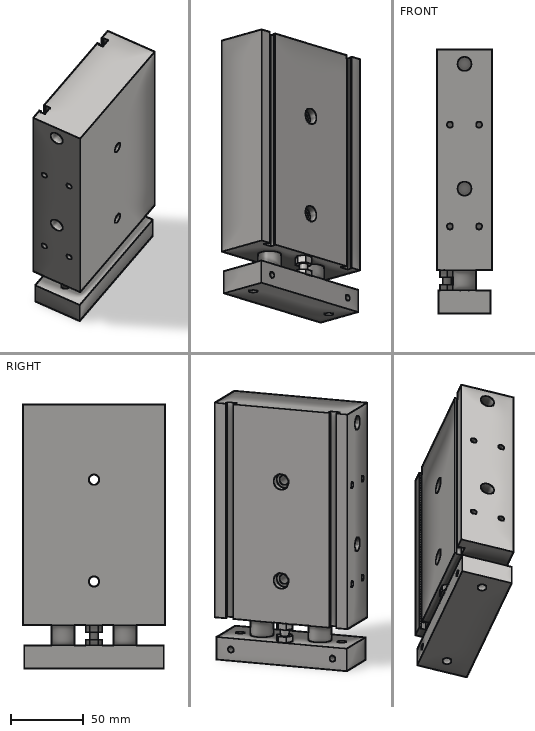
import cadquery as cq

PLATE_X = 36.0
PLATE_Y = 96.1
PLATE_Z = 16.0
PLATE_HOLE_SPACING = 75.0
SIDE_HOLE_DIAMETER = 4.2
SIDE_HOLE_DEPTH = 10.0
TOP_HOLE_DIAMETER = 6.0

ROD_DIAMETER = 16.0
ROD_SPACING = 42.8
ROD_LENGTH = 14.0

HOUSING_X = 38.0
HOUSING_Y = 98.0
HOUSING_TOP = 182.0
HOUSING_BOTTOM = PLATE_Z + ROD_LENGTH
HOUSING_Z = HOUSING_TOP - HOUSING_BOTTOM

SLOT_SPACING = 76.0
SLOT_MOUTH_WIDTH = 5.3
SLOT_INNER_WIDTH = 7.0
SLOT_LIP = 1.5
SLOT_DEPTH = 5.0

MOUNT_LOWER_Z = HOUSING_BOTTOM + 30.0
MOUNT_PITCH = 70.0
MOUNT_ROWS = (MOUNT_LOWER_Z, MOUNT_LOWER_Z + MOUNT_PITCH)
BOLT_HOLE_DIAMETER = 7.0
COUNTERBORE_DIAMETER = 11.0
COUNTERBORE_DEPTH = 6.0
TAPPED_HOLE_DIAMETER = 4.2
TAPPED_HOLE_DEPTH = 10.0
TAPPED_HOLE_SPACING = 20.0

PORT_DIAMETER = 9.6
PORT_DEPTH = 10.0
PORT_ROWS = (HOUSING_BOTTOM + 56.0, HOUSING_TOP - 10.0)

BOLT_X = -12.0
BOLT_SHANK_DIAMETER = 6.0
HEX_ACROSS_FLATS = 10.0
HEAD_HEIGHT = 5.1
NUT_HEIGHT = 4.0


def hole_along_x(diameter, depth, y, z, face_x):
    """Cylinder that enters a -X face and runs toward +X."""
    return cq.Workplane(cq.Solid.makeCylinder(
        diameter / 2, depth, cq.Vector(face_x, y, z), cq.Vector(1, 0, 0)))


def hole_along_y(diameter, depth, x, z):
    """Cylinder that enters the -Y housing face and runs toward +Y."""
    return cq.Workplane(cq.Solid.makeCylinder(
        diameter / 2, depth, cq.Vector(x, -HOUSING_Y / 2, z), cq.Vector(0, 1, 0)))


def box_from(x, y, z, length, width, height):
    """Box starting at x and z, centred on y."""
    return cq.Workplane().box(length, width, height, centered=(False, True, False)).translate((x, y, z))


def t_slot(y):
    """Full-height T-slot with a narrow mouth on the -X face."""
    face_x = -HOUSING_X / 2
    mouth = box_from(face_x, y, HOUSING_BOTTOM, SLOT_DEPTH, SLOT_MOUTH_WIDTH, HOUSING_Z)
    inner = box_from(face_x + SLOT_LIP, y, HOUSING_BOTTOM, SLOT_DEPTH - SLOT_LIP, SLOT_INNER_WIDTH, HOUSING_Z)
    return mouth.union(inner)


def make_housing():
    face_x = -HOUSING_X / 2
    body = box_from(face_x, 0, HOUSING_BOTTOM, HOUSING_X, HOUSING_Y, HOUSING_Z)
    for side in (-1, 1):
        body = body.cut(t_slot(side * SLOT_SPACING / 2))
    for z in MOUNT_ROWS:
        body = body.cut(hole_along_x(BOLT_HOLE_DIAMETER, HOUSING_X, 0, z, face_x))
        body = body.cut(hole_along_x(COUNTERBORE_DIAMETER, COUNTERBORE_DEPTH, 0, z, face_x))
        for side in (-1, 1):
            x = side * TAPPED_HOLE_SPACING / 2
            body = body.cut(hole_along_y(TAPPED_HOLE_DIAMETER, TAPPED_HOLE_DEPTH, x, z))
    for z in PORT_ROWS:
        body = body.cut(hole_along_y(PORT_DIAMETER, PORT_DEPTH, 0, z))
    return body


def make_slide():
    """Tool plate with its two guide rods, which end at the housing underside."""
    face_x = -PLATE_X / 2
    plate = box_from(face_x, 0, 0, PLATE_X, PLATE_Y, PLATE_Z)
    for side in (-1, 1):
        hole_y = side * PLATE_HOLE_SPACING / 2
        top_hole = cq.Workplane().center(0, hole_y).circle(TOP_HOLE_DIAMETER / 2).extrude(PLATE_Z)
        plate = plate.cut(top_hole)
        plate = plate.cut(hole_along_x(SIDE_HOLE_DIAMETER, SIDE_HOLE_DEPTH, hole_y, PLATE_Z / 2, face_x))
        rod = (cq.Workplane().workplane(offset=PLATE_Z).center(0, side * ROD_SPACING / 2)
               .circle(ROD_DIAMETER / 2).extrude(ROD_LENGTH))
        plate = plate.union(rod)
    return plate


def hexagon(bottom_z, height):
    """Hexagonal prism on the bolt axis with flats facing -X and +X."""
    return (cq.Workplane().workplane(offset=bottom_z).center(BOLT_X, 0)
            .polygon(6, HEX_ACROSS_FLATS, circumscribed=True).extrude(height))


def make_stopper_bolt():
    """Bolt between plate and housing: lock nut below, head above."""
    shank = (cq.Workplane().workplane(offset=PLATE_Z).center(BOLT_X, 0)
             .circle(BOLT_SHANK_DIAMETER / 2).extrude(ROD_LENGTH))
    nut = hexagon(PLATE_Z, NUT_HEIGHT)
    head = hexagon(HOUSING_BOTTOM - HEAD_HEIGHT, HEAD_HEIGHT)
    return shank.union(nut).union(head)


housing = make_housing()
slide = make_slide()
stopper_bolt = make_stopper_bolt()
result = cq.Compound.makeCompound([housing.val(), slide.val(), stopper_bolt.val()])